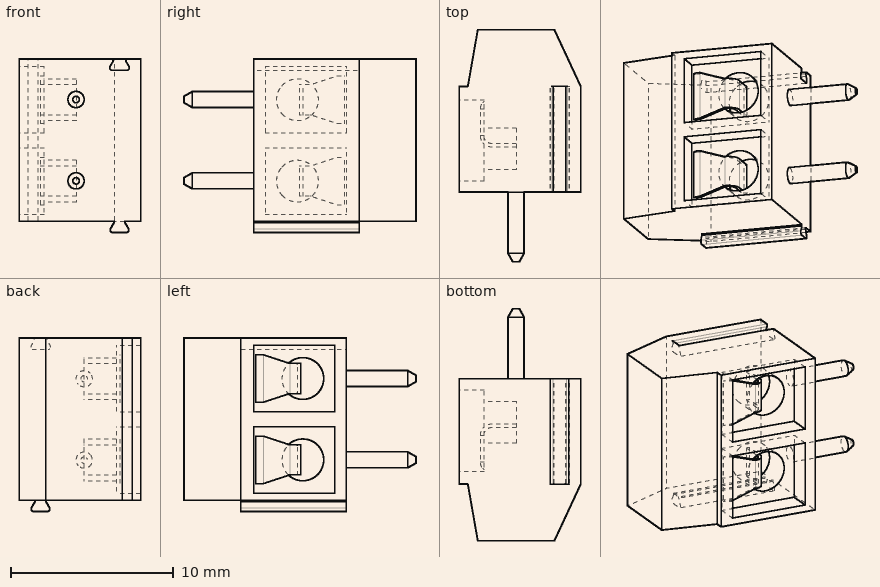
import cadquery as cq
import math


OVERALL_LENGTH = 14.3

WIDTH = 7.5
LENGTH = 10.0
POLES = 2
PITCH = 5.0
HEIGHT = 10.0
BASE_LENGTH = 6.49
SHOULDER = 0.53
TOP_LEFT = 1.15
TOP_RIGHT_INSET = 1.63

PIN_LENGTH = OVERALL_LENGTH - LENGTH
PIN_X = 3.5
PIN_RADIUS = 0.5
PIN_TIP_RADIUS = 0.2
PIN_TIP_LENGTH = 0.53

POCKET_START = 0.7
POCKET_LENGTH = 4.99
POCKET_HEIGHT = 4.09
POCKET_DEPTH = 1.5
HOLE_Y = 2.67
HOLE_RADIUS = 1.29
HOLE_DEPTH = 2.0
HOLE_FLOOR = POCKET_DEPTH + HOLE_DEPTH

STRIP_THICKNESS = 0.21
STRIP_FACE = POCKET_DEPTH - STRIP_THICKNESS
STRIP_BACK_Y = 5.58
STRIP_FLAT_BACK_Y = 5.12
BEND_RADIUS = 0.7
BEND_Y = 3.49
STRIP_WIDE = 2.93
STRIP_NARROW = 1.86

DOVETAIL_X = WIDTH - 1.32
DOVETAIL_FLARE = 30.0
DOVETAIL_RADIUS = 0.16
GROOVE_DEPTH = 0.7
GROOVE_MOUTH = 0.63
GROOVE_LIP_RADIUS = 0.1
RAIL_HEIGHT = 0.69
RAIL_NECK = 0.7
RAIL_NECK_HEIGHT = 0.09


def pole_height(index):
    """Z of the center of one pole."""
    return HEIGHT / 2 + (index - (POLES - 1) / 2) * PITCH


def make_housing():
    outline = [
        (0, 0),
        (WIDTH, 0),
        (WIDTH, BASE_LENGTH),
        (WIDTH - TOP_RIGHT_INSET, LENGTH),
        (TOP_LEFT, LENGTH),
        (SHOULDER, BASE_LENGTH),
        (0, BASE_LENGTH),
    ]
    return cq.Workplane("XY").polyline(outline).close().extrude(HEIGHT)


def make_pin(z):
    shank_end = PIN_TIP_LENGTH - PIN_LENGTH
    return (
        cq.Workplane("XY", origin=(PIN_X, 0, z))
        .polyline([
            (0, 0),
            (PIN_RADIUS, 0),
            (PIN_RADIUS, shank_end),
            (PIN_TIP_RADIUS, -PIN_LENGTH),
            (0, -PIN_LENGTH),
        ])
        .close()
        .revolve(360, (0, 0), (0, 1))
    )


def make_pocket(z):
    pocket = cq.Workplane("XY").box(
        POCKET_DEPTH, POCKET_LENGTH, POCKET_HEIGHT, centered=(False, False, True)
    ).translate((0, POCKET_START, z))
    hole = cq.Workplane("YZ").center(HOLE_Y, z).circle(HOLE_RADIUS).extrude(HOLE_FLOOR)
    return pocket.union(hole)


def make_strip(z):
    """Bent sheet profile in XY, trimmed to the strip's tapered outline in YZ."""
    tip_y = BEND_Y - BEND_RADIUS
    bend_x = STRIP_FACE + BEND_RADIUS
    inner_radius = BEND_RADIUS - STRIP_THICKNESS
    cos_45 = math.sqrt(0.5)
    outer_mid = (bend_x - BEND_RADIUS * cos_45, BEND_Y - BEND_RADIUS * cos_45)
    inner_mid = (bend_x - inner_radius * cos_45, BEND_Y - inner_radius * cos_45)
    profile = (
        cq.Workplane("XY")
        .moveTo(STRIP_FACE, BEND_Y)
        .lineTo(STRIP_FACE, STRIP_FLAT_BACK_Y)
        .tangentArcPoint((POCKET_DEPTH, STRIP_BACK_Y), relative=False)
        .lineTo(POCKET_DEPTH, BEND_Y)
        .threePointArc(inner_mid, (bend_x, tip_y + STRIP_THICKNESS))
        .lineTo(HOLE_FLOOR, tip_y + STRIP_THICKNESS)
        .lineTo(HOLE_FLOOR, tip_y)
        .lineTo(bend_x, tip_y)
        .threePointArc(outer_mid, (STRIP_FACE, BEND_Y))
        .close()
        .extrude(STRIP_WIDE / 2, both=True)
    )
    upper_edge = [
        (tip_y, STRIP_NARROW / 2),
        (BEND_Y, STRIP_NARROW / 2),
        (STRIP_FLAT_BACK_Y, STRIP_WIDE / 2),
        (STRIP_BACK_Y, STRIP_WIDE / 2),
    ]
    lower_edge = [(y, -half_width) for y, half_width in reversed(upper_edge)]
    outline = cq.Workplane("YZ").polyline(upper_edge + lower_edge).close().extrude(HOLE_FLOOR)
    return profile.intersect(outline).translate((0, 0, z))


def make_dovetail(narrow_width, neck_height, depth, top_z):
    """Bar along Y that hangs down from top_z and widens below its neck."""
    narrow = narrow_width / 2
    wide = narrow + (depth - neck_height) * math.tan(math.radians(DOVETAIL_FLARE))
    right_side = [(narrow, -neck_height), (wide, -depth)]
    if neck_height > 0:
        right_side.insert(0, (narrow, 0))
    left_side = [(-x, z) for x, z in reversed(right_side)]
    return (
        cq.Workplane("XZ", origin=(DOVETAIL_X, 0, top_z))
        .polyline(right_side + left_side)
        .close()
        .extrude(-BASE_LENGTH)
        .faces("<Z")
        .edges("|Y")
        .fillet(DOVETAIL_RADIUS)
    )


def cut_groove(body):
    groove = make_dovetail(GROOVE_MOUTH, 0, GROOVE_DEPTH, HEIGHT)
    middle_y = BASE_LENGTH / 2
    body = body.cut(groove)
    for side in (-1, 1):
        lip = cq.selectors.NearestToPointSelector(
            (DOVETAIL_X + side * GROOVE_MOUTH / 2, middle_y, HEIGHT)
        )
        body = body.edges(lip).fillet(GROOVE_LIP_RADIUS)
    return body


result = cut_groove(make_housing())
result = result.union(make_dovetail(RAIL_NECK, RAIL_NECK_HEIGHT, RAIL_HEIGHT, 0))
for pole in range(POLES):
    pole_z = pole_height(pole)
    result = result.cut(make_pocket(pole_z))
    result = result.union(make_strip(pole_z))
    result = result.union(make_pin(pole_z))